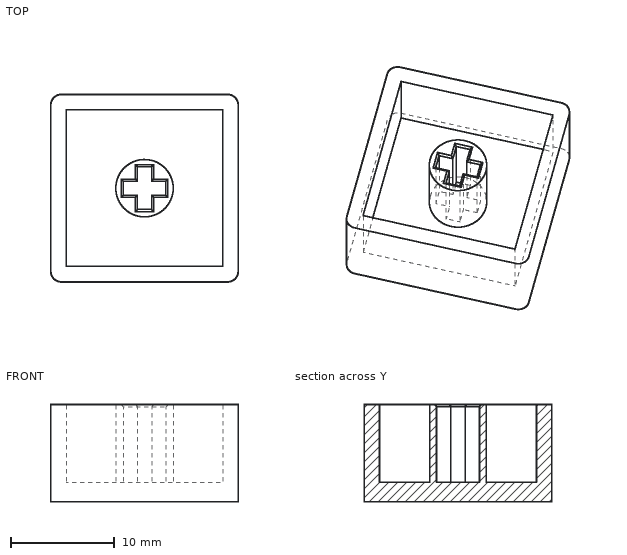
import cadquery as cq

side = 18.1
height = 9.4
corner_radius = 1.05
wall = 1.5
cavity_depth = 7.5

post_diameter = 5.54
cross_length = 4.1
cross_width = 1.35
socket_depth = cavity_depth
lead_in = 0.2

floor_thickness = height - cavity_depth
cavity_side = side - 2 * wall


def make_shell():
    """Open-topped square box with rounded outer corners and a sharp cavity."""
    block = cq.Workplane("XY").rect(side, side).extrude(height).edges("|Z").fillet(corner_radius)
    cavity = (
        cq.Workplane("XY", origin=(0, 0, floor_thickness))
        .rect(cavity_side, cavity_side)
        .extrude(cavity_depth)
    )
    return block.cut(cavity)


def make_post():
    """Round post rising from the cavity floor to the rim."""
    return (
        cq.Workplane("XY", origin=(0, 0, floor_thickness))
        .circle(post_diameter / 2)
        .extrude(cavity_depth)
    )


def cut_socket(body):
    """Cut the cross socket from the post top and chamfer its mouth."""
    socket_floor = cq.Workplane("XY", origin=(0, 0, height - socket_depth))
    arm_x = socket_floor.rect(cross_length, cross_width).extrude(socket_depth)
    arm_y = socket_floor.rect(cross_width, cross_length).extrude(socket_depth)
    socket = arm_x.union(arm_y)
    flare_base = cq.Workplane("XY", origin=(0, 0, height - lead_in))
    for length, width in ((cross_length, cross_width), (cross_width, cross_length)):
        flare = (
            flare_base.rect(length, width)
            .workplane(offset=lead_in)
            .rect(length + 2 * lead_in, width + 2 * lead_in)
            .loft(ruled=True)
        )
        socket = socket.union(flare)
    return body.cut(socket)


result = cut_socket(make_shell().union(make_post()))